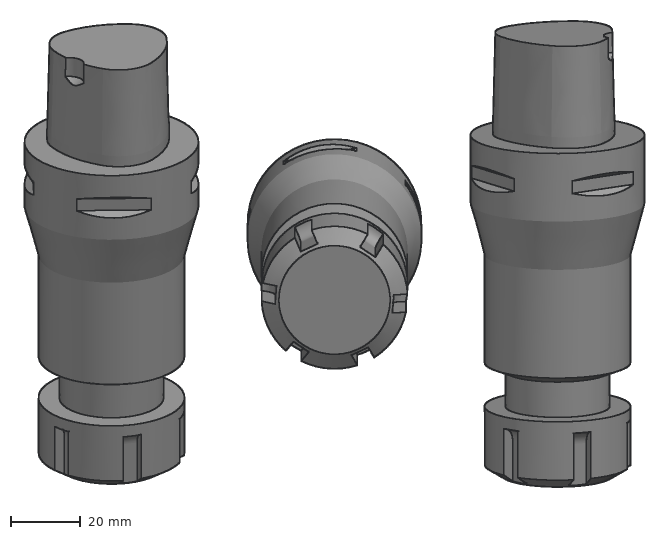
import cadquery as cq
import math

total_height = 130.0

nut_diameter = 42.0
nut_face_diameter = 32.0
nut_chamfer_height = 3.1
nut_height = 20.3
slot_count = 6
slot_width = 5.3
slot_floor_radius = 16.9
slot_top = 16.8
slot_runout_radius = 4.0

neck_diameter = 30.0
neck_top = 30.7
body_bottom = 33.2
body_top = 65.0
flange_diameter = 50.0
flange_bottom = 80.1
flange_top = 100.1

groove_count = 4
groove_floor_distance = 22.6
groove_floor_width = 3.6
groove_flank_angle = 30.0
groove_height = 90.1

lobe_centre_distance = 7.0
lobe_radius = 11.7
flank_distance = 16.2
shank_taper_start = 103.4
shank_taper = math.degrees(math.atan(1 / 40))

notch_radius = 4.3
notch_centre_distance = 17.8
notch_bottom = 124.2
notch_tip_depth = 3.0


def polar(radius, degrees):
    angle = math.radians(degrees)
    return radius * math.cos(angle), radius * math.sin(angle)


def make_turned_body():
    nut_radius = nut_diameter / 2
    neck_radius = neck_diameter / 2
    flange_radius = flange_diameter / 2
    profile = [
        (0, 0),
        (nut_face_diameter / 2, 0),
        (nut_radius, nut_chamfer_height),
        (nut_radius, nut_height),
        (neck_radius, nut_height),
        (neck_radius, neck_top),
        (nut_radius, body_bottom),
        (nut_radius, body_top),
        (flange_radius, flange_bottom),
        (flange_radius, flange_top),
        (0, flange_top),
    ]
    return cq.Workplane("XZ").polyline(profile).close().revolve(360, (0, 0), (0, 1))


def shank_outline(height):
    """Three lobe arcs joined by three tangent flank arcs."""
    centre_x, centre_y = polar(lobe_centre_distance, -30)
    offset = flank_distance + centre_y
    flank_radius = (centre_x**2 + offset**2 - lobe_radius**2) / (2 * (offset - lobe_radius))
    flank_centre_y = flank_radius - flank_distance
    reach = flank_radius / (flank_radius - lobe_radius)
    joint_x = centre_x * reach
    joint_y = flank_centre_y + (centre_y - flank_centre_y) * reach
    joint_radius = math.hypot(joint_x, joint_y)
    half_flank_angle = math.degrees(math.atan2(joint_x, -joint_y))

    outline = cq.Workplane("XY").workplane(offset=height)
    outline = outline.moveTo(*polar(joint_radius, -90 - half_flank_angle))
    for flank_angle in (-90, 30, 150):
        lobe_angle = flank_angle + 60
        outline = outline.threePointArc(
            polar(flank_distance, flank_angle),
            polar(joint_radius, flank_angle + half_flank_angle),
        )
        outline = outline.threePointArc(
            polar(lobe_centre_distance + lobe_radius, lobe_angle),
            polar(joint_radius, flank_angle + 120 - half_flank_angle),
        )
    return outline.close()


def make_shank():
    base = shank_outline(flange_top).extrude(shank_taper_start - flange_top)
    taper_height = total_height - shank_taper_start
    return base.union(shank_outline(shank_taper_start).extrude(taper_height, taper=shank_taper))


def make_notch():
    """Round notch with a conical drill-point bottom."""
    profile = [
        (0, notch_bottom - notch_tip_depth),
        (notch_radius, notch_bottom),
        (notch_radius, total_height),
        (0, total_height),
    ]
    notch = cq.Workplane("XZ").polyline(profile).close().revolve(360, (0, 0), (0, 1))
    return notch.translate((0, -notch_centre_distance, 0))


def make_nut_slot():
    """Slot on the +X side, open downwards, with its floor curving outwards at the top."""
    runout_start = slot_top - slot_runout_radius
    runout_centre = slot_floor_radius + slot_runout_radius
    arc_x, arc_z = polar(slot_runout_radius, 135)
    outside = nut_diameter / 2 + 1.3
    return (
        cq.Workplane("XZ")
        .moveTo(slot_floor_radius, 0)
        .lineTo(slot_floor_radius, runout_start)
        .threePointArc((runout_centre + arc_x, runout_start + arc_z), (runout_centre, slot_top))
        .lineTo(outside, slot_top)
        .lineTo(outside, 0)
        .close()
        .extrude(slot_width / 2, both=True)
    )


def make_gripper_groove():
    """Straight trapezoidal groove across the +X side of the flange."""
    outside = flange_diameter / 2 + 1.3
    floor_half = groove_floor_width / 2
    flare = (outside - groove_floor_distance) * math.tan(math.radians(groove_flank_angle))
    mouth_half = floor_half + flare
    profile = [
        (groove_floor_distance, groove_height - floor_half),
        (outside, groove_height - mouth_half),
        (outside, groove_height + mouth_half),
        (groove_floor_distance, groove_height + floor_half),
    ]
    return cq.Workplane("XZ").polyline(profile).close().extrude(flange_diameter / 2, both=True)


def cut_around_axis(part, cutter, count, first_angle):
    for index in range(count):
        angle = first_angle + index * 360 / count
        part = part.cut(cutter.rotate((0, 0, 0), (0, 0, 1), angle))
    return part


result = make_turned_body().union(make_shank()).cut(make_notch())
result = cut_around_axis(result, make_nut_slot(), slot_count, first_angle=-90)
result = cut_around_axis(result, make_gripper_groove(), groove_count, first_angle=45)